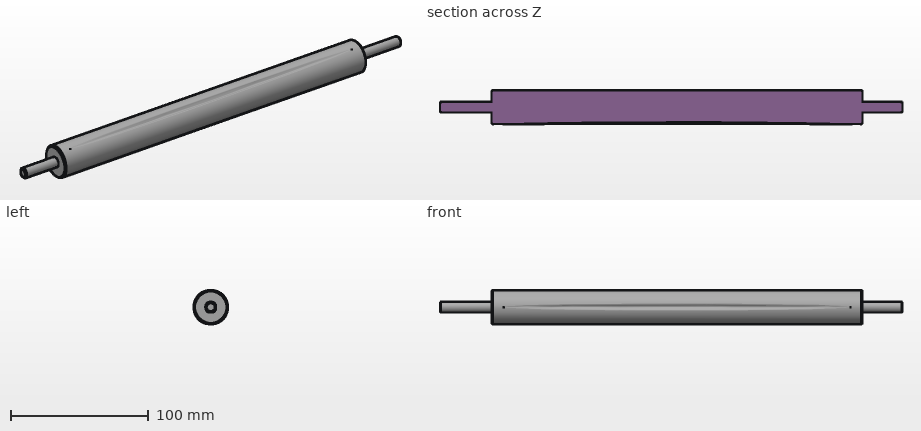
import cadquery as cq
import math

body_diameter = 25.0
body_length = 269.5
body_chamfer = 1.0
shaft_diameter = 8.0
left_stub_length = 37.5
right_stub_length = 29.1
shaft_chamfer = 1.0

groove_count = 3
groove_length = 252.0
groove_depth = 1.5
groove_section_radius = 2.0
groove_rim_fillet = 1.0
groove_sweep_margin = 1.1
first_groove_angle = 180.0

body_radius = body_diameter / 2
body_start = -body_length / 2
groove_arc_radius = ((groove_length / 2) ** 2 + groove_depth**2) / (2 * groove_depth)
groove_sweep_angle = groove_sweep_margin * 2 * math.degrees(math.asin(groove_length / 2 / groove_arc_radius))


def make_body():
    body = cq.Workplane("YZ", origin=(body_start, 0, 0)).circle(body_radius).extrude(body_length)
    return body.faces("<X or >X").chamfer(body_chamfer)


def make_shaft():
    shaft_start = body_start - left_stub_length
    shaft_length = left_stub_length + body_length + right_stub_length
    shaft = cq.Workplane("YZ", origin=(shaft_start, 0, 0)).circle(shaft_diameter / 2).extrude(shaft_length)
    return shaft.faces("<X or >X").chamfer(shaft_chamfer)


def make_groove_cutter():
    """Curved rod on the +Y side, deepest in the body at mid-length."""
    bottom_y = body_radius - groove_depth
    section_y = bottom_y + groove_section_radius
    arc_center_y = bottom_y + groove_arc_radius
    rod = (
        cq.Workplane("YZ")
        .center(section_y, 0)
        .circle(groove_section_radius)
        .revolve(groove_sweep_angle, (arc_center_y - section_y, 0), (arc_center_y - section_y, 1))
    )
    return rod.rotate((0, arc_center_y, 0), (0, arc_center_y, 1), -groove_sweep_angle / 2)


def cut_groove(body, cutter, angle):
    """Cut one groove turned about the roller axis, measured from +Y toward +Z, and round its rim."""
    body = body.cut(cutter.rotate((0, 0, 0), (1, 0, 0), angle))
    turn = math.radians(angle)
    groove_middle = (0, body_radius * math.cos(turn), body_radius * math.sin(turn))
    rim = cq.selectors.NearestToPointSelector(groove_middle)
    return body.edges(rim).fillet(groove_rim_fillet)


def make_grooved_body():
    body = make_body()
    cutter = make_groove_cutter()
    for index in range(groove_count):
        body = cut_groove(body, cutter, first_groove_angle + index * 360.0 / groove_count)
    return body


result = make_grooved_body().union(make_shaft())